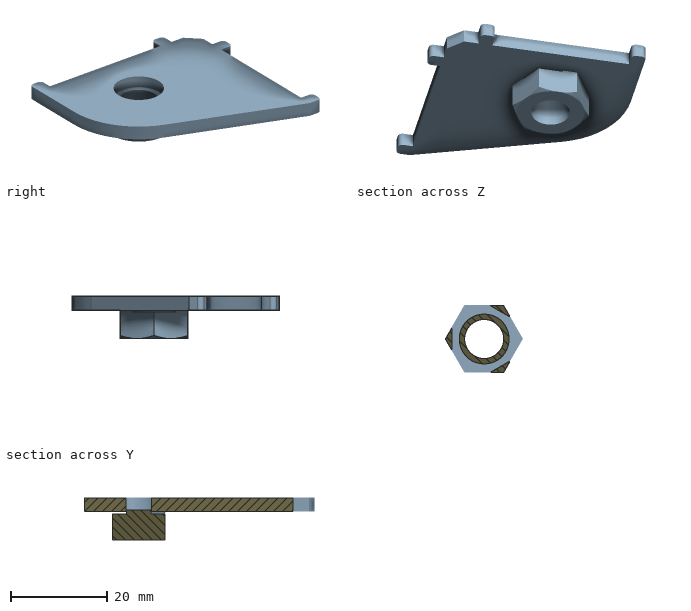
import cadquery as cq
import math

PLATE_TURN = -30

PLATE_THICKNESS = 3.0
SIDE_X = -12.0
SIDE_Y = 24.0
NOSE_RADIUS = 17.0
CORNER_CUT = 3.0
TAB_SIZE = 3.0
TAB_FILLET = 1.0
SIDE_X_INNER_TAB = 15.0
SIDE_Y_INNER_TAB = -6.0
SIDE_Y_OUTER_TAB = 24.0

COLLAR_DIAMETER = 10.45
COLLAR_ENTRY = 0.5
BORE_DIAMETER = 8.0
ACROSS_FLATS = 14.0
NUT_DEPTH = 5.8
PAD_HEIGHT = 0.32
PAD_REACH = 1.5
PAD_ANGLES = (60, 180, 300)
CHAMFER_ANGLE = 30

across_corners = ACROSS_FLATS / math.cos(math.radians(30))
corner_radius = across_corners / 2
hex_height = NUT_DEPTH - PAD_HEIGHT


def make_tab(x, y):
    """Square tab with its lower left corner at (x, y), before rounding."""
    return cq.Workplane("XY").box(TAB_SIZE, TAB_SIZE, PLATE_THICKNESS, centered=False).translate((x, y, 0))


def make_plate():
    tab_end_x = SIDE_Y_OUTER_TAB + TAB_SIZE
    root_distance = math.hypot(tab_end_x, SIDE_Y)
    tangent_angle = math.atan2(SIDE_Y, tab_end_x) - math.acos(NOSE_RADIUS / root_distance)
    middle_angle = (tangent_angle - math.pi / 2) / 2

    def nose_point(angle):
        return (NOSE_RADIUS * math.cos(angle), NOSE_RADIUS * math.sin(angle))

    body = (
        cq.Workplane("XY")
        .moveTo(SIDE_X, -NOSE_RADIUS)
        .lineTo(0, -NOSE_RADIUS)
        .threePointArc(nose_point(middle_angle), nose_point(tangent_angle))
        .lineTo(tab_end_x, SIDE_Y)
        .lineTo(SIDE_X + CORNER_CUT, SIDE_Y)
        .lineTo(SIDE_X, SIDE_Y - CORNER_CUT)
        .close()
        .extrude(PLATE_THICKNESS)
    )

    for y in (-NOSE_RADIUS, SIDE_X_INNER_TAB):
        tab = make_tab(SIDE_X - TAB_SIZE, y).edges("|Z and <X").fillet(TAB_FILLET)
        body = body.union(tab)
    for x in (SIDE_Y_INNER_TAB, SIDE_Y_OUTER_TAB):
        tab = make_tab(x, SIDE_Y).edges("|Z and >Y").fillet(TAB_FILLET)
        body = body.union(tab)

    hole = cq.Workplane("XY").circle(COLLAR_DIAMETER / 2).extrude(PLATE_THICKNESS)
    return body.cut(hole).clean().rotate((0, 0, 0), (0, 0, 1), PLATE_TURN)


def make_hexagon():
    """Hexagonal prism with a corner on the X axis."""
    return cq.Workplane("XY").workplane(offset=-NUT_DEPTH).polygon(6, across_corners).extrude(hex_height)


def make_chamfer_envelope():
    """Cylinder with a coned lower end that bevels the six free corners."""
    flat_radius = ACROSS_FLATS / 2
    cone_height = (corner_radius - flat_radius) * math.tan(math.radians(CHAMFER_ANGLE))
    return (
        cq.Workplane("XZ")
        .moveTo(0, -NUT_DEPTH)
        .lineTo(flat_radius, -NUT_DEPTH)
        .lineTo(corner_radius, -NUT_DEPTH + cone_height)
        .lineTo(corner_radius, -PAD_HEIGHT)
        .lineTo(0, -PAD_HEIGHT)
        .close()
        .revolve(360, (0, 0, 0), (0, 1, 0))
    )


def make_pad(angle):
    """Triangular weld pad filling one corner of the hexagon."""
    half_width = PAD_REACH * math.tan(math.radians(60))
    inner_x = corner_radius - PAD_REACH
    return (
        cq.Workplane("XY")
        .workplane(offset=-PAD_HEIGHT)
        .polyline([(corner_radius, 0), (inner_x, half_width), (inner_x, -half_width)])
        .close()
        .extrude(PAD_HEIGHT)
        .rotate((0, 0, 0), (0, 0, 1), angle)
    )


def make_weld_nut():
    body = make_hexagon().intersect(make_chamfer_envelope())
    for angle in PAD_ANGLES:
        body = body.union(make_pad(angle))
    collar = (
        cq.Workplane("XY")
        .workplane(offset=-PAD_HEIGHT)
        .circle(COLLAR_DIAMETER / 2)
        .extrude(PAD_HEIGHT + COLLAR_ENTRY)
    )
    bore = (
        cq.Workplane("XY")
        .workplane(offset=-NUT_DEPTH)
        .circle(BORE_DIAMETER / 2)
        .extrude(NUT_DEPTH + COLLAR_ENTRY)
    )
    return body.union(collar).cut(bore)


plate = make_plate()
weld_nut = make_weld_nut()

result = cq.Compound.makeCompound([plate.solids().val(), weld_nut.solids().val()])